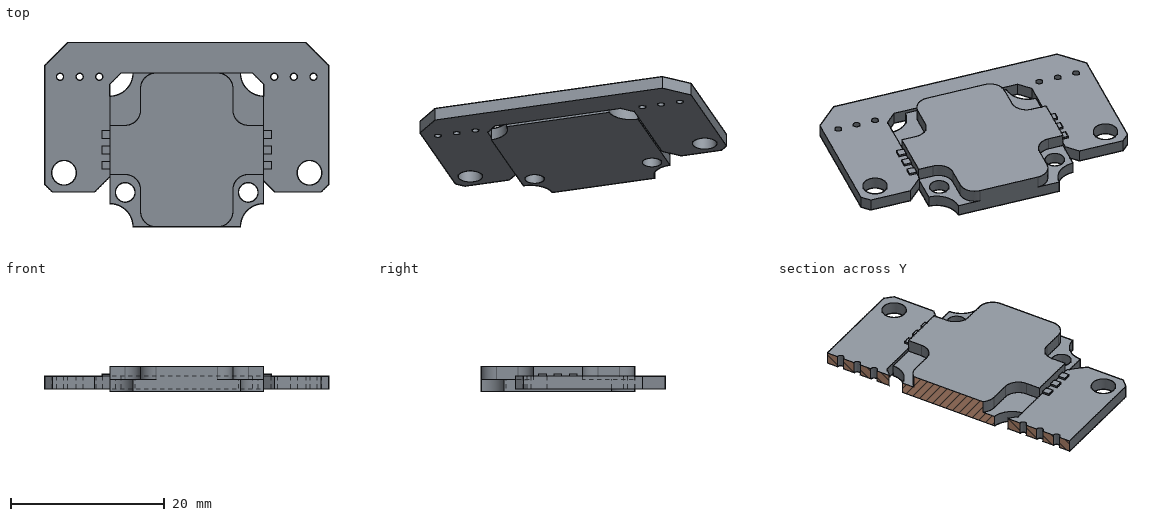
import cadquery as cq

module_side = 20.0
module_height = 3.3
base_height = 1.6
base_corner_radius = 3.0
base_hole_diameter = 2.5
base_hole_inset_x = 2.0
base_hole_inset_y = 4.48
cap_notch_x = 4.0
cap_notch_y = 6.8
cap_radius = 2.0

tab_size = 1.0
tab_thickness = 0.25
tab_pitch = 2.0
tabs_per_side = 3

board_width = 37.0
board_depth = 19.5
board_thickness = 1.7
board_bottom = 0.35
board_back_strip = 4.0
back_chamfer = 3.0
front_outer_chamfer = 1.0
front_inner_chamfer_left = 2.0
front_inner_chamfer_right = 1.45
opening_chamfer = 1.45
mount_hole_diameter = 3.2
mount_hole_inset_x = 2.5
mount_hole_from_back = 17.0
pin_hole_diameter = 0.9
pin_hole_inset_x = 2.0
pin_hole_from_back = 4.48
pin_hole_pitch = 2.55
pin_holes_per_side = 3

module_half = module_side / 2
board_half = board_width / 2
board_back = module_half + board_back_strip
board_front = board_back - board_depth
board_top = board_bottom + board_thickness
cap_height = module_height - base_height
sides = (-1, 1)


def make_base():
    """Square plate with scooped corners and two holes near the front."""
    base = cq.Workplane("XY").rect(module_side, module_side).extrude(base_height)
    corner_scoops = (
        cq.Workplane("XY")
        .rect(module_side, module_side, forConstruction=True)
        .vertices()
        .circle(base_corner_radius)
        .extrude(base_height)
    )
    hole_y = -module_half + base_hole_inset_y
    hole_centres = [(side * (module_half - base_hole_inset_x), hole_y) for side in sides]
    holes = (
        cq.Workplane("XY")
        .pushPoints(hole_centres)
        .circle(base_hole_diameter / 2)
        .extrude(base_height)
    )
    return base.cut(corner_scoops).cut(holes)


def make_cap():
    """Cross-shaped cap: its front and back arms have rounded ends and roots."""
    arm_width = module_side - 2 * cap_notch_x
    side_arm_depth = module_side - 2 * cap_notch_y
    plane = cq.Workplane("XY").workplane(offset=base_height)
    long_arm = plane.rect(arm_width, module_side).extrude(cap_height)
    side_arms = plane.rect(module_side, side_arm_depth).extrude(cap_height)
    cross = long_arm.edges("|Z").fillet(cap_radius).union(side_arms)
    root_half_width = arm_width / 2
    root_half_depth = side_arm_depth / 2
    root_margin = 0.05
    root_box = cq.selectors.BoxSelector(
        (-root_half_width - root_margin, -root_half_depth - root_margin, base_height),
        (root_half_width + root_margin, root_half_depth + root_margin, module_height),
    )
    return cross.edges("|Z").edges(root_box).fillet(cap_radius)


def make_tabs():
    """Rows of small flat tabs just outside the two sides of the module."""
    first_y = -tab_pitch * (tabs_per_side - 1) / 2
    centres = [
        (side * (module_half + tab_size / 2), first_y + row * tab_pitch)
        for side in sides
        for row in range(tabs_per_side)
    ]
    return (
        cq.Workplane("XY")
        .workplane(offset=board_top)
        .pushPoints(centres)
        .rect(tab_size, tab_size)
        .extrude(tab_thickness)
    )


def make_module():
    return make_base().union(make_cap()).union(make_tabs())


def half_board_outline(side, front_inner_chamfer):
    """Corners of one half of the board, from its back edge round to the back of the opening."""
    corners = [
        (board_half - back_chamfer, board_back),
        (board_half, board_back - back_chamfer),
        (board_half, board_front + front_outer_chamfer),
        (board_half - front_outer_chamfer, board_front),
        (module_half + front_inner_chamfer, board_front),
        (module_half, board_front + front_inner_chamfer),
        (module_half, module_half - opening_chamfer),
        (module_half - opening_chamfer, module_half),
    ]
    return [(side * x, y) for x, y in corners]


def make_board_plate():
    """U-shaped plate with chamfered corners; the left inner front chamfer is the larger."""
    right_half = half_board_outline(1, front_inner_chamfer_right)
    left_half = half_board_outline(-1, front_inner_chamfer_left)
    return (
        cq.Workplane("XY")
        .workplane(offset=board_bottom)
        .polyline(right_half + left_half[::-1])
        .close()
        .extrude(board_thickness)
    )


def make_board_holes():
    """Mounting holes near the front and rows of pin holes near the back."""
    mount_y = board_back - mount_hole_from_back
    mount_centres = [(side * (board_half - mount_hole_inset_x), mount_y) for side in sides]
    pin_y = board_back - pin_hole_from_back
    pin_centres = [
        (side * (board_half - pin_hole_inset_x - column * pin_hole_pitch), pin_y)
        for side in sides
        for column in range(pin_holes_per_side)
    ]
    plane = cq.Workplane("XY").workplane(offset=board_bottom)
    mount_holes = plane.pushPoints(mount_centres).circle(mount_hole_diameter / 2).extrude(board_thickness)
    pin_holes = plane.pushPoints(pin_centres).circle(pin_hole_diameter / 2).extrude(board_thickness)
    return mount_holes.union(pin_holes)


def make_board():
    return make_board_plate().cut(make_board_holes())


module = make_module()
board = make_board()
result = cq.Compound.makeCompound([module.solids().val(), board.solids().val()])